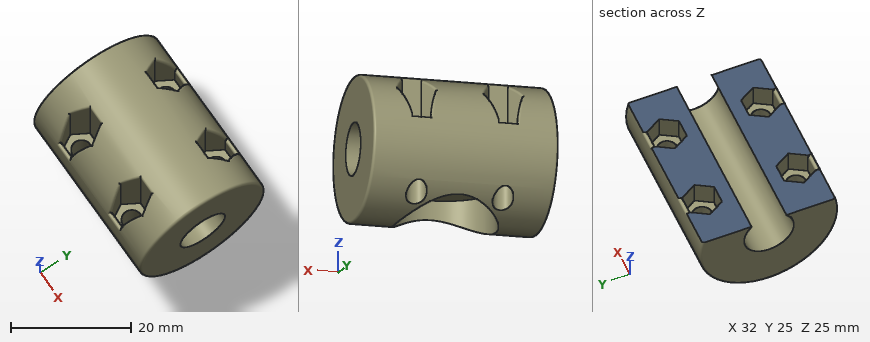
import cadquery as cq
import math

length = 32.0
body_diameter = 25.0
bore_diameter = 9.0
end_round = 0.48

screw_diameter = 3.5
screw_pitch_x = 15.0
screw_pitch_y = 17.0
nut_across_flats = 5.7
nut_floor_z = -1.0
nut_mouth_round = 0.4

socket_diameter = 17.65
socket_depth = 7.05

body_radius = body_diameter / 2
nut_across_corners = nut_across_flats / math.cos(math.pi / 6)


def make_body():
    """Solid cylinder along X with rounded end rims."""
    cylinder = cq.Workplane("YZ").circle(body_radius).extrude(length / 2, both=True)
    return cylinder.faces("<X or >X").edges().fillet(end_round)


def at_screws(z):
    """Workplane at height z with a point on each screw axis."""
    return cq.Workplane("XY").workplane(offset=z).rarray(screw_pitch_x, screw_pitch_y, 2, 2)


def cut_nut_pockets(body):
    """Cut the hexagonal pockets and round their mouths on the cylindrical surface."""
    pockets = at_screws(nut_floor_z).polygon(6, nut_across_corners).extrude(body_radius)
    pocketed = body.cut(pockets)
    reach = nut_across_corners / 2 + nut_mouth_round
    for x in (-screw_pitch_x / 2, screw_pitch_x / 2):
        for y in (-screw_pitch_y / 2, screw_pitch_y / 2):
            mouth = cq.selectors.BoxSelector(
                (x - reach, y - reach, nut_floor_z + nut_mouth_round),
                (x + reach, y + reach, body_radius),
            )
            mouth_edges = pocketed.edges(mouth).edges("not |Z")
            pocketed = mouth_edges.fillet(nut_mouth_round)
    return pocketed


body = cut_nut_pockets(make_body())
screw_holes = at_screws(-body_radius).circle(screw_diameter / 2).extrude(body_diameter)
bore = cq.Workplane("YZ").circle(bore_diameter / 2).extrude(length / 2, both=True)
socket_base = cq.Workplane("XY").workplane(offset=-body_radius)
socket = socket_base.circle(socket_diameter / 2).extrude(socket_depth)
result = body.cut(screw_holes).cut(bore).cut(socket)